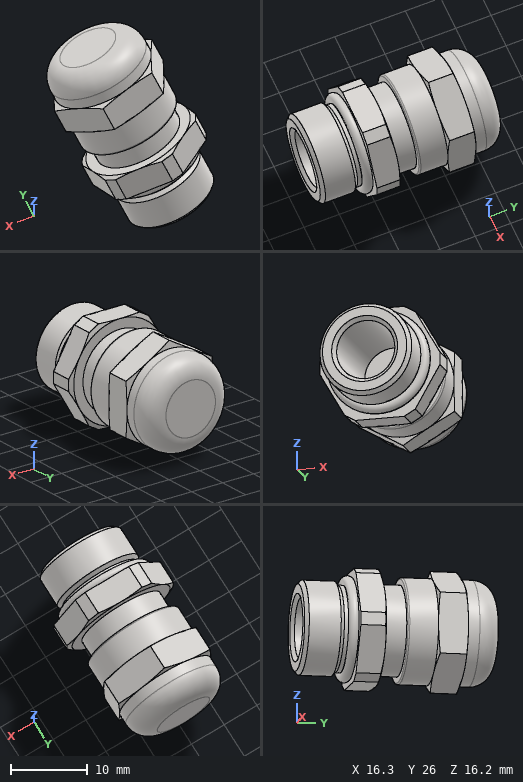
import cadquery as cq
import math

TOTAL_LENGTH = 26.0

HEX_HALF_ANGLE = math.pi / 6
HEX_CORNERS_ON_X = 0
HEX_FLATS_ON_X = 30

THREAD_RADIUS = 6.25
THREAD_CHAMFER = 0.52
NECK_RADIUS = THREAD_RADIUS - THREAD_CHAMFER
NECK_START = 5.28

RING_OUTER_RADIUS = 7.0
RING_SECTION_RADIUS = 0.75
RING_FRONT = 5.75

BODY_HEX_START = 7.0
BODY_HEX_END = 10.53
BODY_HEX_FLATS = 15.0
BODY_HEX_CORNERS = 16.33
BODY_HEX_CHAMFER = 0.23
BODY_HEX_FACE_RADIUS = BODY_HEX_FLATS / 2

BODY_RADIUS = 6.0

CAP_START = 13.5
CAP_HEX_CORNERS = 16.17
CAP_HEX_FLATS = CAP_HEX_CORNERS * math.cos(HEX_HALF_ANGLE)
CAP_RADIUS = CAP_HEX_FLATS / 2
CAP_EDGE_FILLET = 0.2
DOME_FILLET = 3.0
CAP_HEX_START = 17.52
CAP_HEX_END = 21.5
CAP_HEX_CHAMFER = 0.23

BORE_RADIUS = 3.95
BORE_CHAMFER = 0.52
BORE_DEPTH = CAP_START


def cylinder(radius, start, end):
    """Round bar along Y from start to end."""
    return cq.Workplane("XZ", origin=(0, start, 0)).circle(radius).extrude(start - end)


def revolved(outline):
    """Solid of revolution about Y from (radius, y) points."""
    return cq.Workplane("XY").polyline(outline).close().revolve(360, (0, 0, 0), (0, 1, 0))


def hexagon(flats, start, end, turn):
    """Hexagonal bar along Y; turn places its corners or its flats on the X axis."""
    across_corners = flats / math.cos(HEX_HALF_ANGLE)
    bar = cq.Workplane("XZ", origin=(0, start, 0)).polygon(6, across_corners).extrude(start - end)
    return bar.rotate((0, 0, 0), (0, 1, 0), turn)


def threaded_end():
    thread = cylinder(THREAD_RADIUS, 0, NECK_START).edges().chamfer(THREAD_CHAMFER)
    return thread.union(cylinder(NECK_RADIUS, 0, BODY_HEX_START))


def sealing_ring():
    centre_radius = RING_OUTER_RADIUS - RING_SECTION_RADIUS
    centre_y = RING_FRONT + RING_SECTION_RADIUS
    section_plane = cq.Plane(origin=(centre_radius, centre_y, 0), xDir=(-1, 0, 0), normal=(0, 0, 1))
    section = cq.Workplane(section_plane).circle(RING_SECTION_RADIUS)
    return section.revolve(360, (centre_radius, 0, 0), (centre_radius, 1, 0))


def body_hexagon():
    flats = hexagon(BODY_HEX_FLATS, BODY_HEX_START, BODY_HEX_END, HEX_CORNERS_ON_X)
    corner_cut = hexagon(BODY_HEX_CORNERS, BODY_HEX_START, BODY_HEX_END, HEX_FLATS_ON_X)
    corner_radius = BODY_HEX_CORNERS / 2
    chamfer_cone = revolved([
        (0, BODY_HEX_START),
        (BODY_HEX_CORNERS, BODY_HEX_START),
        (corner_radius, BODY_HEX_END - BODY_HEX_CHAMFER),
        (BODY_HEX_FACE_RADIUS, BODY_HEX_END),
        (0, BODY_HEX_END),
    ])
    return flats.intersect(corner_cut).intersect(chamfer_cone)


def cap_hexagon():
    corner_radius = CAP_HEX_CORNERS / 2
    chamfer_cones = revolved([
        (0, CAP_HEX_START),
        (CAP_RADIUS, CAP_HEX_START),
        (corner_radius, CAP_HEX_START + CAP_HEX_CHAMFER),
        (corner_radius, CAP_HEX_END - CAP_HEX_CHAMFER),
        (CAP_RADIUS, CAP_HEX_END),
        (0, CAP_HEX_END),
    ])
    return hexagon(CAP_HEX_FLATS, CAP_HEX_START, CAP_HEX_END, HEX_FLATS_ON_X).intersect(chamfer_cones)


def cap_nut():
    barrel = cylinder(CAP_RADIUS, CAP_START, TOTAL_LENGTH)
    barrel = barrel.faces(">Y").edges().fillet(DOME_FILLET)
    barrel = barrel.faces("<Y").edges().fillet(CAP_EDGE_FILLET)
    return barrel.union(cap_hexagon())


def bore():
    mouth_radius = BORE_RADIUS + BORE_CHAMFER
    return revolved([
        (0, 0),
        (mouth_radius, 0),
        (BORE_RADIUS, BORE_CHAMFER),
        (BORE_RADIUS, BORE_DEPTH),
        (0, BORE_DEPTH),
    ])


body = cylinder(BODY_RADIUS, BODY_HEX_END, CAP_START)
result = (
    threaded_end()
    .union(sealing_ring())
    .union(body_hexagon())
    .union(body)
    .union(cap_nut())
    .cut(bore())
)